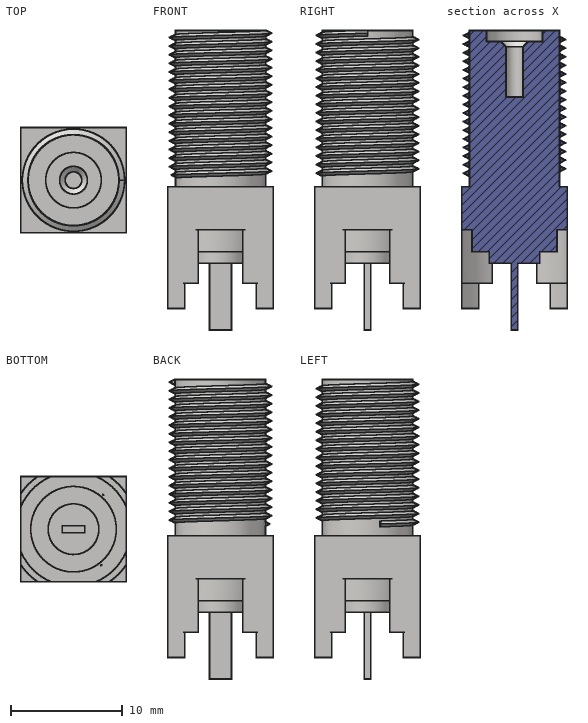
import cadquery as cq
import math


block_width = 9.5
leg_length = 10.98
cavity_depth = 3.9
shoulder_depth = 8.7
cavity_opening = 4.0
tip_opening = 6.4

barrel_dia = 8.15
barrel_height = 14.06
recess_dia = 5.0
recess_depth = 1.0
socket_dia = 1.5
socket_mouth_dia = 2.5
socket_chamfer = (socket_mouth_dia - socket_dia) / 2
socket_depth = 5.0

overall_height = 26.97
flange_dia = 7.7
flange_bottom = 5.87
boss_dia = 4.56
boss_bottom = 6.9
pin_tip = overall_height - barrel_height
pin_width = 2.0
pin_thickness = 0.6

thread_root_dia = 8.2
thread_crest_dia = 9.2
thread_pitch = 0.775
thread_ridge_width = 0.52
thread_end_z = barrel_height - thread_ridge_width / 2
thread_turns = 16.457


def cylinder(diameter, z_from, z_to):
    return cq.Workplane("XY").workplane(offset=z_from).circle(diameter / 2).extrude(z_to - z_from)


def cavity_dia(opening):
    """Diameter of the round cavity that breaks through the block sides by the given gap."""
    return math.hypot(block_width, opening)


def make_block():
    block = cq.Workplane("XY").rect(block_width, block_width).extrude(-leg_length)
    block = block.cut(cylinder(cavity_dia(cavity_opening), -leg_length, -cavity_depth))
    return block.cut(cylinder(cavity_dia(tip_opening), -leg_length, -shoulder_depth))


def make_barrel():
    recess_floor = barrel_height - recess_depth
    barrel = cylinder(barrel_dia, 0, barrel_height)
    barrel = barrel.cut(cylinder(recess_dia, recess_floor, barrel_height))
    barrel = barrel.cut(cylinder(socket_dia, recess_floor - socket_depth, recess_floor))
    mouth = (
        cq.Workplane("XY")
        .workplane(offset=recess_floor)
        .circle(socket_mouth_dia / 2)
        .workplane(offset=-socket_chamfer)
        .circle(socket_dia / 2)
        .loft()
    )
    return barrel.cut(mouth)


def make_underside():
    flange = cylinder(flange_dia, -flange_bottom, -cavity_depth)
    boss = cylinder(boss_dia, -boss_bottom, -flange_bottom)
    pin = (
        cq.Workplane("XY")
        .workplane(offset=-boss_bottom)
        .rect(pin_width, pin_thickness)
        .extrude(boss_bottom - pin_tip)
    )
    return flange.union(boss).union(pin)


def make_connector():
    return make_block().union(make_barrel()).union(make_underside())


def make_thread():
    root_radius = thread_root_dia / 2
    helix_height = thread_pitch * thread_turns
    start_z = thread_end_z - helix_height
    start_angle = -360 * (thread_turns % 1)
    half_width = thread_ridge_width / 2
    helix = cq.Wire.makeHelix(thread_pitch, helix_height, root_radius)
    ridge = (
        cq.Workplane("XZ")
        .moveTo(root_radius, -half_width)
        .lineTo(thread_crest_dia / 2, 0)
        .lineTo(root_radius, half_width)
        .close()
        .sweep(cq.Workplane(helix), isFrenet=True)
    )
    return ridge.rotate((0, 0, 0), (0, 0, 1), start_angle).translate((0, 0, start_z))


connector = make_connector()
thread = make_thread()

result = cq.Compound.makeCompound([connector.solids().val(), thread.solids().val()])